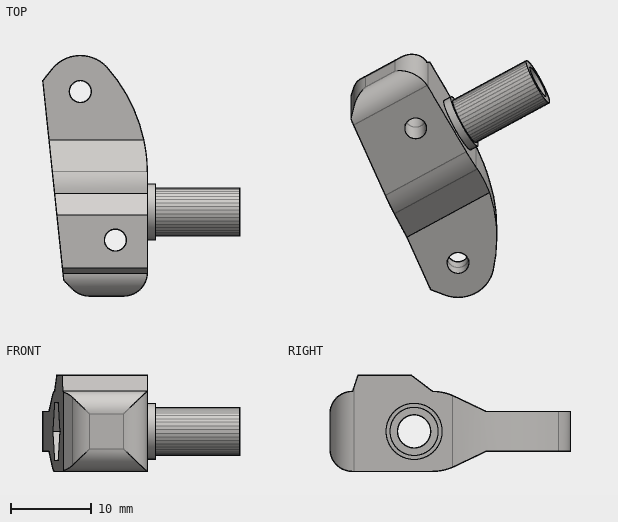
import cadquery as cq
import math


tip_y = 19.5
nose_y = -10.5
pivot_radius = 4.5
pivot_x = -8.37
pivot_y = tip_y - pivot_radius
back_radius = 20.0
left_top_x = -13.06
left_top_y = 16.35
left_bottom_x = -10.45
left_bottom_y = -8.5
nose_radius = 3.0
nose_bevel_angle = 45

tongue_half_height = 2.5
body_half_height = 5.0
tongue_end_y = 8.95
taper_angle = 25.5
taper_blend_radius = 6.5
nose_edge_radius = 2.83
pad_top_z = 7.0
pad_foot_back_y = 2.3
pad_crest_back_y = -0.35
pad_crest_front_y = -7.0
pad_foot_front_y = nose_y + nose_edge_radius

pin_hole_diameter = 2.7
lock_hole_x = -4.0
lock_hole_y = -3.5
bore_diameter = 4.1
hex_across_flats = 7.2
hex_floor_x = -7.1

collar_diameter = 7.0
collar_length = 1.0
shaft_diameter = 6.0
shaft_sides = 40
shaft_length = 10.5

overreach = 30.0


def polar(center, radius, angle):
    """Point at an angle (radians) on a circle."""
    return (center[0] + radius * math.cos(angle), center[1] + radius * math.sin(angle))


def plan_prism():
    """Outline seen along Z, extruded over the full height."""
    pivot = (pivot_x, pivot_y)

    pivot_offset = pivot_x + back_radius
    center_gap = back_radius - pivot_radius
    back_center = (-back_radius, pivot_y - math.sqrt(center_gap**2 - pivot_offset**2))
    join_angle = math.atan2(pivot_y - back_center[1], pivot_offset)

    corner_dx = left_top_x - pivot_x
    corner_dy = left_top_y - pivot_y
    corner_distance = math.hypot(corner_dx, corner_dy)
    tangent_angle = math.atan2(corner_dy, corner_dx) - math.acos(pivot_radius / corner_distance)

    bevel = math.radians(nose_bevel_angle)
    bevel_end_y = nose_y + nose_radius * (1 - math.cos(bevel))
    bevel_end_x = left_bottom_x + (left_bottom_y - bevel_end_y) / math.tan(bevel)
    nose_left = (bevel_end_x + nose_radius * math.sin(bevel), nose_y + nose_radius)
    nose_right = (-nose_radius, nose_y + nose_radius)

    outline = (
        cq.Workplane("XY")
        .moveTo(left_bottom_x, left_bottom_y)
        .lineTo(bevel_end_x, bevel_end_y)
        .threePointArc(
            polar(nose_left, nose_radius, -(math.pi + bevel) / 2),
            (nose_left[0], nose_y),
        )
        .lineTo(nose_right[0], nose_y)
        .threePointArc(
            polar(nose_right, nose_radius, -math.pi / 4),
            (0, nose_right[1]),
        )
        .lineTo(0, back_center[1])
        .threePointArc(
            polar(back_center, back_radius, join_angle / 2),
            polar(back_center, back_radius, join_angle),
        )
        .threePointArc(
            polar(pivot, pivot_radius, (join_angle + tangent_angle) / 2),
            polar(pivot, pivot_radius, tangent_angle),
        )
        .lineTo(left_top_x, left_top_y)
        .close()
    )
    return outline.extrude(overreach, both=True)


def side_prism():
    """Outline seen along X, extruded over the full width."""
    slope = math.radians(taper_angle)
    rise = body_half_height - tongue_half_height
    blend_center_z = body_half_height - taper_blend_radius
    corner_y = tongue_end_y - rise / math.tan(slope)
    blend_flat_y = corner_y - taper_blend_radius * math.tan(slope / 2)
    blend_start = polar((blend_flat_y, blend_center_z), taper_blend_radius, math.pi / 2 - slope)
    blend_middle = polar((blend_flat_y, blend_center_z), taper_blend_radius, (math.pi - slope) / 2)

    nose_center_y = nose_y + nose_edge_radius
    nose_center_z = body_half_height - nose_edge_radius
    nose_middle = polar((nose_center_y, nose_center_z), nose_edge_radius, 3 * math.pi / 4)

    outline = (
        cq.Workplane("YZ")
        .moveTo(tip_y, -tongue_half_height)
        .lineTo(tip_y, tongue_half_height)
        .lineTo(tongue_end_y, tongue_half_height)
        .lineTo(*blend_start)
        .threePointArc(blend_middle, (blend_flat_y, body_half_height))
        .lineTo(nose_center_y, body_half_height)
        .threePointArc(nose_middle, (nose_y, nose_center_z))
        .lineTo(nose_y, -nose_center_z)
        .threePointArc((nose_middle[0], -nose_middle[1]), (nose_center_y, -body_half_height))
        .lineTo(blend_flat_y, -body_half_height)
        .threePointArc((blend_middle[0], -blend_middle[1]), (blend_start[0], -blend_start[1]))
        .lineTo(tongue_end_y, -tongue_half_height)
        .close()
    )
    pad = (
        cq.Workplane("YZ")
        .moveTo(pad_foot_back_y, 0)
        .lineTo(pad_foot_back_y, body_half_height)
        .lineTo(pad_crest_back_y, pad_top_z)
        .lineTo(pad_crest_front_y, pad_top_z)
        .lineTo(pad_foot_front_y, body_half_height)
        .lineTo(pad_foot_front_y, 0)
        .close()
    )
    return outline.extrude(-overreach).union(pad.extrude(-overreach))


def shaft():
    """Collar and many-sided shaft on the +X face."""
    collar = cq.Workplane("YZ").circle(collar_diameter / 2).extrude(collar_length)
    facet_angle = 360 / shaft_sides
    bar = (
        cq.Workplane("YZ", origin=(collar_length, 0, 0))
        .transformed(rotate=(0, 0, facet_angle / 2))
        .polygon(shaft_sides, shaft_diameter)
        .extrude(shaft_length)
    )
    return collar.union(bar)


def vertical_hole(x, y):
    """Pin hole through the full height."""
    return cq.Workplane("XY").center(x, y).circle(pin_hole_diameter / 2).extrude(overreach, both=True)


def bore_and_hex_pocket():
    """Through bore on the shaft axis, with a hex pocket open on the -X side."""
    bore = cq.Workplane("YZ").circle(bore_diameter / 2).extrude(overreach, both=True)
    hex_across_corners = hex_across_flats / math.cos(math.radians(30))
    pocket = (
        cq.Workplane("YZ", origin=(hex_floor_x, 0, 0))
        .polygon(6, hex_across_corners)
        .extrude(-overreach)
    )
    return bore.union(pocket)


body = plan_prism().intersect(side_prism())
result = (
    body.union(shaft())
    .cut(bore_and_hex_pocket())
    .cut(vertical_hole(pivot_x, pivot_y))
    .cut(vertical_hole(lock_hole_x, lock_hole_y))
)